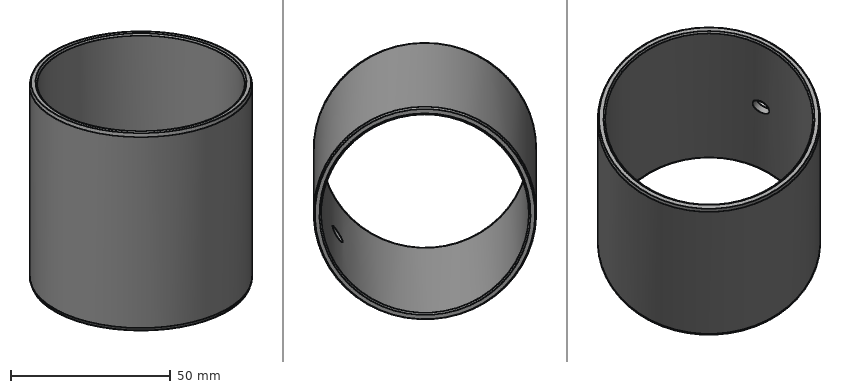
import cadquery as cq

outer_diameter = 70.0
length = 70.0
wall = 2.4
outer_radius = outer_diameter / 2
bore_radius = outer_radius - wall

outer_chamfer_radial = 0.4
outer_chamfer_axial = 1.2
inner_chamfer = 0.55

oil_hole_diameter = 6.0

half_length = length / 2
outer_land_radius = outer_radius - outer_chamfer_radial
inner_land_radius = bore_radius + inner_chamfer
outer_chamfer_height = half_length - outer_chamfer_axial
inner_chamfer_height = half_length - inner_chamfer

wall_section = (
    cq.Workplane("XZ")
    .moveTo(bore_radius, -inner_chamfer_height)
    .lineTo(inner_land_radius, -half_length)
    .lineTo(outer_land_radius, -half_length)
    .lineTo(outer_radius, -outer_chamfer_height)
    .lineTo(outer_radius, outer_chamfer_height)
    .lineTo(outer_land_radius, half_length)
    .lineTo(inner_land_radius, half_length)
    .lineTo(bore_radius, inner_chamfer_height)
    .close()
)
bushing = wall_section.revolve(360, (0, 0, 0), (0, 1, 0))

oil_hole = cq.Workplane("XZ").circle(oil_hole_diameter / 2).extrude(-outer_diameter)

result = bushing.cut(oil_hole)